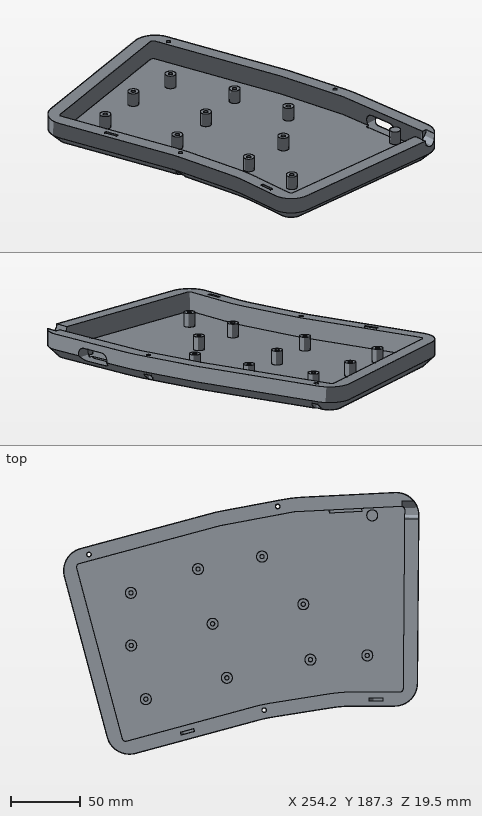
import cadquery as cq
import math

height = 19.5
floor = 5.0
wall = 10.2
bottom_chamfer = 8.0
outer_corner_radius = 16.5
cavity_corner_radius = 2.5
front_bend_radius = 96.5
rear_bend_radii = [114.5, 56.0]

front_left_corner = (35.3, -3.5)
front_bends = [(144.5, 26.0), (198.8, 34.5)]
front_right_corner = (253.0, 34.5)
rear_right_corner = (254.2, 188.4)
rear_bends = [(163.7, 183.8), (109.5, 173.5)]
rear_left_corner = (-3.8, 143.0)

standoff_diameter = 8.0
standoff_height = 10.2
pilot_diameter = 3.0
standoff_centers = [
    (48.0, 115.7),
    (48.3, 78.0),
    (58.7, 39.7),
    (96.0, 132.7),
    (106.5, 93.5),
    (116.7, 55.0),
    (141.8, 141.5),
    (171.3, 107.5),
    (176.5, 67.9),
    (217.0, 71.0),
]
post_center = (220.6, 171.0)

screw_diameter = 3.0
screw_head_diameter = 6.4
screw_head_depth = 5.0
screw_centers = [(18.0, 143.0), (153.0, 177.5), (143.4, 31.8)]

magnet_diameter = 10.0
magnet_thickness = 2.0
magnet_places = [(88.5, 16.3, 15.0), (223.5, 39.5, 0.0)]

port_center = (201.5, 173.4)
port_angle = 3.0
port_length = 27.2
port_height = 10.5
port_center_z = 9.2
port_reach = 25.5

channel_radius = 6.4
channel_start_x = 242.0
channel_y = 175.0
channel_length = 25.5


def corner_arc(previous, corner, following, radius):
    to_previous = (previous - corner).normalized()
    to_following = (following - corner).normalized()
    half_angle = to_previous.getAngle(to_following) / 2
    tangent_length = radius / math.tan(half_angle)
    inward = (to_previous + to_following).normalized()
    start = corner + to_previous * tangent_length
    middle = corner + inward * (radius / math.sin(half_angle) - radius)
    end = corner + to_following * tangent_length
    return [point.toTuple()[:2] for point in (start, middle, end)]


def rounded_outline(corner_radius, rear_radii):
    rounded_points = [
        (front_left_corner, corner_radius),
        *[(bend, front_bend_radius) for bend in front_bends],
        (front_right_corner, corner_radius),
        (rear_right_corner, corner_radius),
        *zip(rear_bends, rear_radii),
        (rear_left_corner, corner_radius),
    ]
    points = [cq.Vector(*point) for point, radius in rounded_points]
    arcs = []
    for i, (_, radius) in enumerate(rounded_points):
        following = points[(i + 1) % len(points)]
        arcs.append(corner_arc(points[i - 1], points[i], following, radius))

    start, middle, end = arcs[0]
    outline = cq.Workplane("XY").moveTo(*start).threePointArc(middle, end)
    for start, middle, end in arcs[1:]:
        outline = outline.lineTo(*start).threePointArc(middle, end)
    return outline.close()


def make_shell():
    body = rounded_outline(outer_corner_radius, rear_bend_radii).extrude(height)
    body = body.faces("<Z").chamfer(bottom_chamfer)
    inner_radius = wall + cavity_corner_radius
    inner_outline = rounded_outline(inner_radius, [inner_radius] * len(rear_bends))
    cavity = inner_outline.offset2D(-wall).extrude(height)
    return body.cut(cavity.translate((0, 0, floor)))


def make_pillars():
    on_floor = cq.Workplane("XY").workplane(offset=floor)
    standoffs = (
        on_floor.pushPoints(standoff_centers)
        .circle(standoff_diameter / 2)
        .circle(pilot_diameter / 2)
        .extrude(standoff_height)
    )
    post = on_floor.center(*post_center).circle(standoff_diameter / 2).extrude(standoff_height)
    return standoffs.add(post).combine()


def make_screw_holes():
    bottom = cq.Workplane("XY").pushPoints(screw_centers)
    shanks = bottom.circle(screw_diameter / 2).extrude(height)
    heads = bottom.circle(screw_head_diameter / 2).extrude(screw_head_depth)
    return shanks.union(heads)


def make_magnet_pocket(x, y, angle):
    radius = magnet_diameter / 2
    disc = cq.Workplane("XZ").circle(radius).extrude(magnet_thickness / 2, both=True)
    slot = cq.Workplane("XY").box(magnet_diameter, magnet_thickness, radius, centered=(True, True, False))
    pocket = disc.union(slot).rotate((0, 0, 0), (0, 0, 1), angle)
    return pocket.translate((x, y, height - radius))


def make_port():
    port = cq.Workplane("XZ").slot2D(port_length, port_height).extrude(-port_reach)
    port = port.rotate((0, 0, 0), (0, 0, 1), port_angle)
    return port.translate((*port_center, port_center_z))


def make_cable_channel():
    channel = cq.Workplane("YZ").center(channel_y, height).circle(channel_radius).extrude(channel_length)
    return channel.translate((channel_start_x, 0, 0))


result = make_shell().union(make_pillars())
result = result.cut(make_screw_holes()).cut(make_port()).cut(make_cable_channel())
for place in magnet_places:
    result = result.cut(make_magnet_pocket(*place))